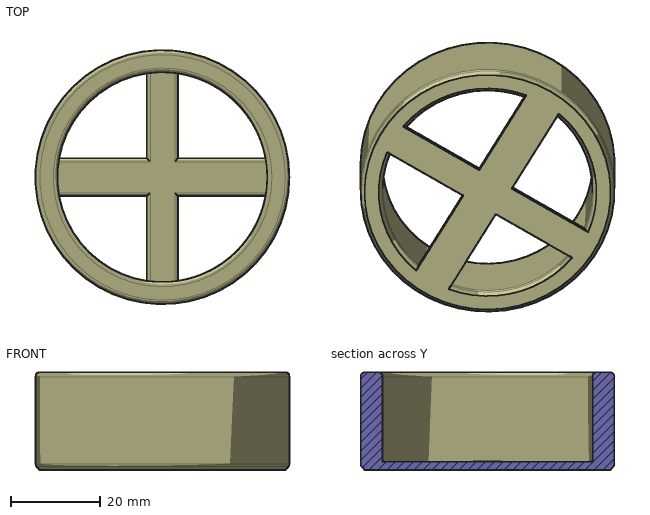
import cadquery as cq
import math

outer_diameter = 57.0
bore_diameter = 47.0
ring_height = 22.0
rim_fillet = 1.0

bevel_inset = 0.9
bevel_height = 0.85
blend_inset = 0.15
blend_top = 1.5

bar_along_x_width = 8.5
bar_along_y_width = 7.0
bar_thickness = 2.0
bar_fillet = 0.75

outer_radius = outer_diameter / 2


def make_ring():
    """Revolved ring with rounded top edges and blended bevels on the bottom edges."""
    bore_radius = bore_diameter / 2
    blend_drop = blend_top - bevel_height
    blend_radius = (blend_drop**2 + blend_inset**2) / (2 * blend_inset)
    half_angle = math.asin(blend_drop / blend_radius) / 2
    bore_arc_middle = (
        bore_radius + blend_radius * (1 - math.cos(half_angle)),
        blend_top - blend_radius * math.sin(half_angle),
    )
    ring = (
        cq.Workplane("XZ")
        .moveTo(outer_radius, ring_height)
        .lineTo(outer_radius, blend_top)
        .tangentArcPoint((outer_radius - blend_inset, bevel_height), relative=False)
        .lineTo(outer_radius - bevel_inset, 0)
        .lineTo(bore_radius + bevel_inset, 0)
        .lineTo(bore_radius + blend_inset, bevel_height)
        .threePointArc(bore_arc_middle, (bore_radius, blend_top))
        .lineTo(bore_radius, ring_height)
        .close()
        .revolve(360, (0, 0, 0), (0, 1, 0))
    )
    return ring.faces(">Z").edges().fillet(rim_fillet)


def make_cross():
    """Two crossing bars with rounded upper edges, ending inside the ring wall."""
    bar_length = (outer_diameter + bore_diameter) / 2
    on_base = (True, True, False)
    bar_x = cq.Workplane("XY").box(bar_length, bar_along_x_width, bar_thickness, centered=on_base)
    bar_y = cq.Workplane("XY").box(bar_along_y_width, bar_length, bar_thickness, centered=on_base)
    return bar_x.union(bar_y).faces(">Z").edges().fillet(bar_fillet)


result = make_ring().union(make_cross())